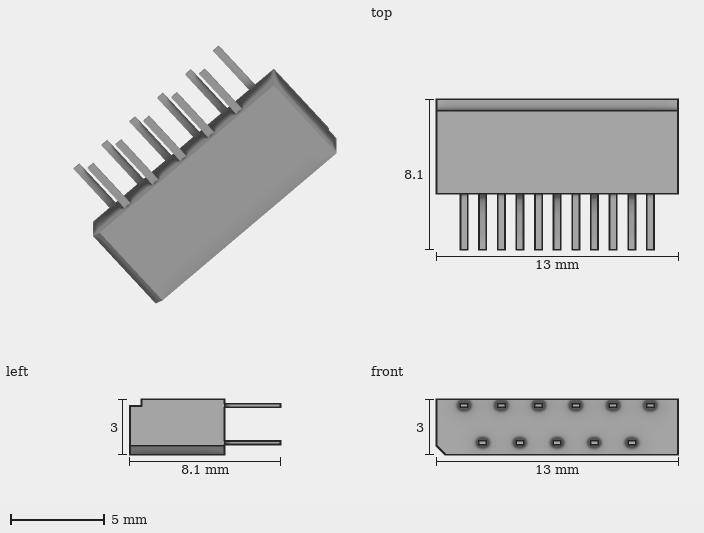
import cadquery as cq

body_length = 13.0
body_depth = 5.1
body_height = 3.0
corner_chamfer = 0.5

step_depth = 0.62
step_height = 0.36

pin_pitch = 1.0
pin_width = 0.4
pin_thickness = 0.21
pin_length = 3.0
upper_pin_count = 6
lower_pin_count = 5
lower_row_height = 0.65
row_spacing = 2 * pin_pitch
pin_embed = 0.13


def make_housing():
    """Block with one bevelled lower edge and a stepped rear top edge."""
    block = cq.Workplane("XY").box(
        body_length, body_depth, body_height, centered=(True, False, False)
    )
    block = block.edges("|Y and <X and <Z").chamfer(corner_chamfer)
    step = (
        cq.Workplane("XY")
        .box(body_length, step_depth, step_height, centered=(True, False, False))
        .translate((0, body_depth - step_depth, body_height - step_height))
    )
    return block.cut(step)


def make_pin_row(count, height):
    """Row of pins centred in X, extending forward from the housing."""
    spacing = 2 * pin_pitch
    row_start = -spacing * (count - 1) / 2
    centres = [(row_start + i * spacing, height) for i in range(count)]
    return (
        cq.Workplane("XZ", origin=(0, pin_embed, 0))
        .pushPoints(centres)
        .rect(pin_width, pin_thickness)
        .extrude(pin_length + pin_embed)
    )


upper_pins = make_pin_row(upper_pin_count, lower_row_height + row_spacing)
lower_pins = make_pin_row(lower_pin_count, lower_row_height)
result = make_housing().union(upper_pins).union(lower_pins)